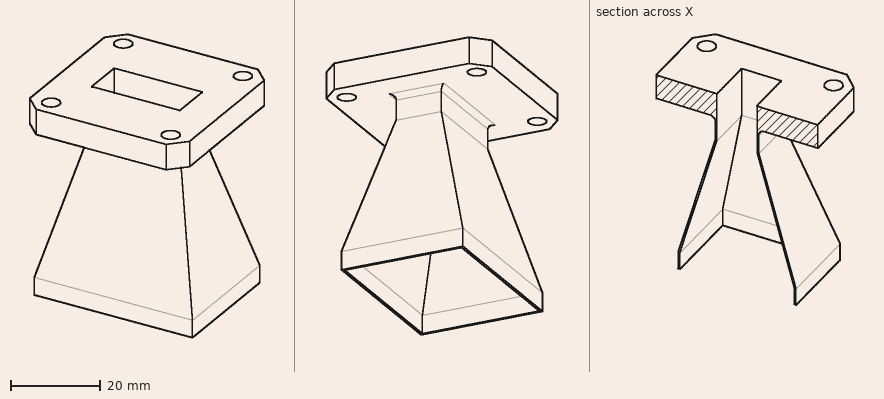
import cadquery as cq

total_height = 50.8
wall = 0.55

flange_side = 41.4
flange_thickness = 6.45
flange_corner_chamfer = 3.85
bolt_hole_diameter = 4.2
bolt_spacing_x = 31.0
bolt_spacing_y = 32.5

bore_x = 22.85
bore_y = 10.15
neck_x = bore_x + 2 * wall
neck_y = bore_y + 2 * wall
neck_fillet_radius = 1.25

mouth_x = 41.0
mouth_y = 30.35
mouth_height = 4.5

flare_top = 38.15
flange_bottom = total_height - flange_thickness
flare_height = flare_top - mouth_height


def block(size_x, size_y, bottom, top):
    """Centred rectangular block between two heights."""
    return cq.Workplane("XY").workplane(offset=bottom).rect(size_x, size_y).extrude(top - bottom)


def horn_shape(throat_x, throat_y, end_x, end_y, top):
    """Straight mouth, tapered flare and straight throat as one solid."""
    mouth = block(end_x, end_y, 0, mouth_height)
    flare = (
        cq.Workplane("XY")
        .workplane(offset=mouth_height)
        .rect(end_x, end_y)
        .workplane(offset=flare_height)
        .rect(throat_x, throat_y)
        .loft(ruled=True)
    )
    throat = block(throat_x, throat_y, flare_top, top)
    return mouth.union(flare).union(throat)


flange = block(flange_side, flange_side, flange_bottom, total_height)
flange = flange.edges("|Z").chamfer(flange_corner_chamfer)

outer_horn = horn_shape(neck_x, neck_y, mouth_x, mouth_y, flange_bottom)
body = outer_horn.union(flange)
neck_joint = cq.selectors.BoxSelector(
    (-neck_x / 2 - wall, -neck_y / 2 - wall, flange_bottom - wall),
    (neck_x / 2 + wall, neck_y / 2 + wall, flange_bottom + wall),
)
body = body.edges(neck_joint).fillet(neck_fillet_radius)

passage = horn_shape(bore_x, bore_y, mouth_x - 2 * wall, mouth_y - 2 * wall, total_height)
body = body.cut(passage)

bolt_holes = (
    cq.Workplane("XY")
    .workplane(offset=flange_bottom)
    .rect(bolt_spacing_x, bolt_spacing_y, forConstruction=True)
    .vertices()
    .circle(bolt_hole_diameter / 2)
    .extrude(flange_thickness)
)
result = body.cut(bolt_holes)